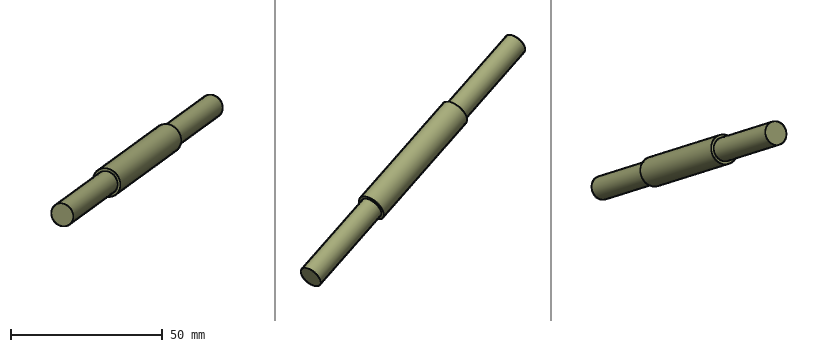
import cadquery as cq

total_length = 118.0
body_length = 48.0
body_diameter = 10.0
journal_diameter = 8.0

end_y = total_length / 2
shoulder_y = body_length / 2
body_radius = body_diameter / 2
journal_radius = journal_diameter / 2

half_section = (
    cq.Workplane("YZ")
    .moveTo(-end_y, 0)
    .lineTo(-end_y, journal_radius)
    .lineTo(-shoulder_y, journal_radius)
    .lineTo(-shoulder_y, body_radius)
    .lineTo(shoulder_y, body_radius)
    .lineTo(shoulder_y, journal_radius)
    .lineTo(end_y, journal_radius)
    .lineTo(end_y, 0)
    .close()
)

result = half_section.revolve(360, (0, 0, 0), (1, 0, 0))